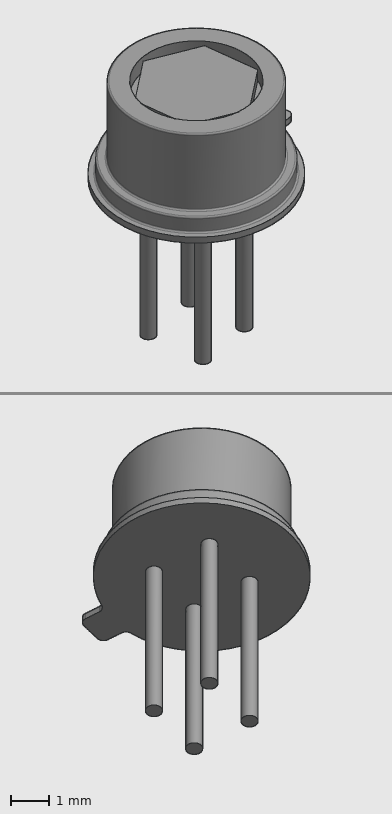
import cadquery as cq
import math

total_height = 8.2
can_height = 3.2
pin_length = total_height - can_height
flange_thickness = 0.2
shoulder_height = 0.7

flange_diameter = 5.7
shoulder_diameter = 5.3
can_diameter = 4.7
edge_radius = 0.05

tab_reach = 3.61
tab_width = 1.0
tab_radius = 0.2

recess_diameter = 3.5
recess_depth = 0.5
recess_floor = can_height - recess_depth
window_setback = 0.15
window_height = recess_depth - window_setback
window_sides = 6

pin_diameter = 0.45
pin_circle_diameter = 2.54
pin_count = 4
first_pin_angle = 45.0


def make_flange():
    """Thin round flange with the rounded locating tab."""
    disc = cq.Workplane("XY").circle(flange_diameter / 2).extrude(flange_thickness)
    tab = (
        cq.Workplane("XY")
        .box(tab_width, tab_reach, flange_thickness, centered=(True, False, False))
        .edges("|Z and >Y")
        .fillet(tab_radius)
    )
    flange = disc.union(tab)
    root_x = tab_width / 2
    root_y = math.sqrt((flange_diameter / 2) ** 2 - root_x ** 2)
    for side in (-1, 1):
        root = cq.selectors.NearestToPointSelector((side * root_x, root_y, flange_thickness / 2))
        flange = flange.edges("|Z").edges(root).fillet(tab_radius)
    return flange


def foot_edge(diameter, height):
    """Select the circular edge of the given diameter at the given height."""
    margin = edge_radius / 4
    reach = diameter / 2 + margin
    return cq.selectors.BoxSelector(
        (-reach, -reach, height - margin), (reach, reach, height + margin), boundingbox=True
    )


def add_step(body, base_height, diameter, top_height):
    """Add a round step with a rounded top edge and a rounded corner at its foot."""
    step = (
        cq.Workplane("XY")
        .workplane(offset=base_height)
        .circle(diameter / 2)
        .extrude(top_height - base_height)
        .faces(">Z")
        .edges()
        .fillet(edge_radius)
    )
    return body.union(step).edges(foot_edge(diameter, base_height)).fillet(edge_radius)


def make_pins():
    """Round pins hanging below the flange."""
    return (
        cq.Workplane("XY")
        .polarArray(pin_circle_diameter / 2, first_pin_angle, 360, pin_count)
        .circle(pin_diameter / 2)
        .extrude(-pin_length)
    )


def make_housing():
    """Flange, shoulder and can with the window recess, and the pins."""
    housing = make_flange()
    housing = add_step(housing, flange_thickness, shoulder_diameter, shoulder_height)
    housing = add_step(housing, shoulder_height, can_diameter, can_height)
    recess = (
        cq.Workplane("XY")
        .workplane(offset=recess_floor)
        .circle(recess_diameter / 2)
        .extrude(recess_depth)
    )
    return housing.cut(recess).union(make_pins())


def make_window():
    """Hexagonal window on the recess floor; its corners touch the recess wall."""
    return (
        cq.Workplane("XY")
        .workplane(offset=recess_floor)
        .polygon(window_sides, recess_diameter)
        .extrude(window_height)
    )


housing = make_housing()
window = make_window()

result = cq.Compound.makeCompound([housing.solids().val(), window.val()])